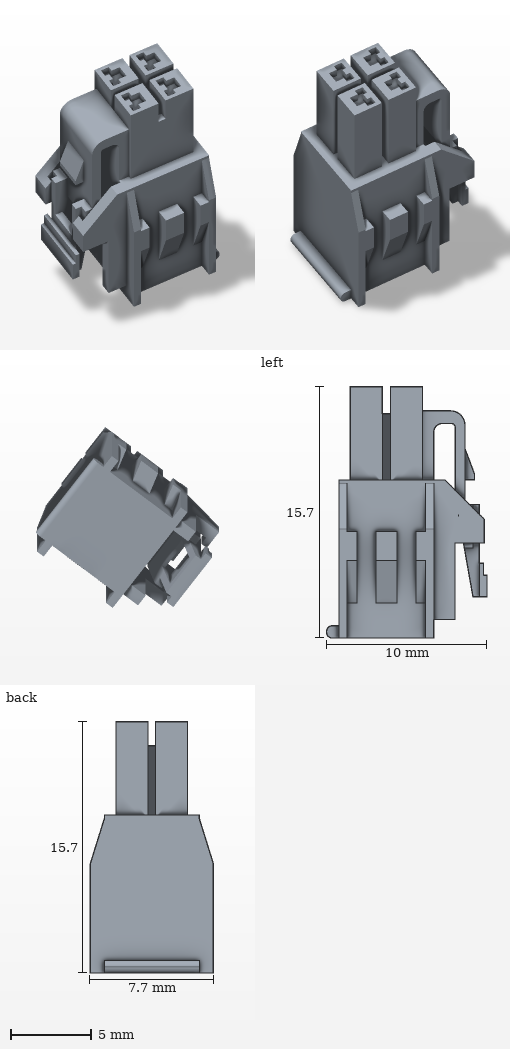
import cadquery as cq

BODY_HALF = 2.97
BODY_TOP = 9.88
SIDE_REACH = 3.85

FLANGE_THICK = 0.52
FLANGE_FULL_TOP = 6.83
FLANGE_TAPER_TOP = 9.65

LUG_TOP = 6.67
LUG_SLOPE_TOP = 4.84
LUG_SLOPE_BOTTOM = 2.2
MIDDLE_LUG_HALF = 0.66
CORNER_LUG_INNER = 1.84

FOOT_REACH = 0.77
FOOT_HEIGHT = 0.78
FOOT_RADIUS = 0.38

HEIGHT = 15.7
TOWER_SIDE = 2.01
TOWER_GAP_X = 0.45
TOWER_GAP_Y = 0.5
TOWER_X = (TOWER_SIDE + TOWER_GAP_X) / 2
TOWER_Y = (TOWER_SIDE + TOWER_GAP_Y) / 2
TOWER_OUTER_X = TOWER_X + TOWER_SIDE / 2
TOWER_OUTER_Y = TOWER_Y + TOWER_SIDE / 2

WEB_THICK = 0.5
WEB_TOP = 14.02

SOCKET_DEPTH = 0.57
STEM_HALF = 0.42
STEM_END = 0.45
CROSS_HALF = 0.77
CROSS_TOP = -0.13
CROSS_BOTTOM = -0.69
KEY_HALF = 0.24
KEY_TOP = -0.41

ARM_INNER = 2.18
ARM_BOTTOM = 1.16
ARM_FRONT = -4.29
HOOK_FRONT = -6.12
HOOK_BACK = -5.7
HOOK_INNER = 1.7
HOOK_BOTTOM = 5.93
ARM_SLOPE_BOTTOM = 7.41
ARM_SLOPE_START = HOOK_FRONT + BODY_TOP - ARM_SLOPE_BOTTOM

LATCH_HALF = 2.01
LATCH_TOP = 14.2
LATCH_BACK = ARM_FRONT
LATCH_FRONT = -4.91
LOOP_OUTER_RADIUS = 0.91
SLOT_TOP = 13.39
SLOT_BACK_RADIUS = 0.53
SLOT_FRONT_RADIUS = 0.22
SHOULDER_TOP = 8.35
SHOULDER_BOTTOM = 5.62
SHOULDER_FRONT = -5.4
STRIP_HALF = 1.5
STRIP_FRONT = -5.81
TAPER_TOP = 8.89
LATCH_BOTTOM = 2.57

WINDOW_HALF = 1.02
WINDOW_BOTTOM = 5.46
RELIEF_TOP = 6.67
SILL_BACK = -5.3

RAMP_HALF = 0.97
RAMP_TOP = 11.82
RAMP_LIP_TOP = 10.24
RAMP_FRONT = -5.51

GRIP_HALF = 1.98
GRIP_TOP = 4.68
GRIP_STEP_TOP = 3.94
GRIP_STEP_FRONT = -6.08
GRIP_FRONT = -6.3


def block(x0, x1, y0, y1, z0, z1):
    """Box between two opposite corners."""
    return cq.Workplane("XY").box(x1 - x0, y1 - y0, z1 - z0, centered=False).translate((x0, y0, z0))


def centered_bar(outline, half_width):
    """(y, z) outline as a bar centred on X = 0."""
    return cq.Workplane("YZ").polyline(outline).close().extrude(half_width, both=True)


def both_sides(solid):
    """The solid together with its mirror image across X = 0."""
    return solid.union(solid.mirror("YZ"))


def side_piece(outline, y0, y1):
    """(x, z) outline running from y0 to y1."""
    return cq.Workplane("XZ", origin=(0, y0, 0)).polyline(outline).close().extrude(y0 - y1)


def housing():
    body = block(-BODY_HALF, BODY_HALF, -BODY_HALF, BODY_HALF, 0, BODY_TOP)
    flange = [(0, 0), (SIDE_REACH, 0), (SIDE_REACH, FLANGE_FULL_TOP),
              (BODY_HALF, FLANGE_TAPER_TOP), (0, FLANGE_TAPER_TOP)]
    lug = [(0, LUG_SLOPE_BOTTOM), (BODY_HALF, LUG_SLOPE_BOTTOM), (SIDE_REACH, LUG_SLOPE_TOP),
           (SIDE_REACH, LUG_TOP), (0, LUG_TOP)]
    flange_inner = BODY_HALF - FLANGE_THICK
    body = body.union(both_sides(side_piece(lug, -MIDDLE_LUG_HALF, MIDDLE_LUG_HALF)))
    for outline, inner, outer in (
        (flange, flange_inner, BODY_HALF),
        (lug, CORNER_LUG_INNER, flange_inner),
    ):
        piece = both_sides(side_piece(outline, inner, outer))
        body = body.union(piece).union(piece.mirror("XZ"))
    foot = block(-BODY_HALF, BODY_HALF, 0, BODY_HALF + FOOT_REACH, 0, FOOT_HEIGHT)
    return body.union(foot.edges(">Y and |X").fillet(FOOT_RADIUS))


def socket():
    """T-shaped contact socket with a key rib in its crossbar."""
    outline = [
        (-STEM_HALF, STEM_END), (STEM_HALF, STEM_END), (STEM_HALF, CROSS_TOP),
        (CROSS_HALF, CROSS_TOP), (CROSS_HALF, CROSS_BOTTOM), (KEY_HALF, CROSS_BOTTOM),
        (KEY_HALF, KEY_TOP), (-KEY_HALF, KEY_TOP), (-KEY_HALF, CROSS_BOTTOM),
        (-CROSS_HALF, CROSS_BOTTOM), (-CROSS_HALF, CROSS_TOP), (-STEM_HALF, CROSS_TOP),
    ]
    return cq.Workplane("XY", origin=(0, 0, HEIGHT)).polyline(outline).close().extrude(-SOCKET_DEPTH)


def towers():
    half = TOWER_SIDE / 2
    tower = block(-half, half, -half, half, 0, HEIGHT).cut(socket())
    group = block(TOWER_OUTER_X - WEB_THICK, TOWER_OUTER_X, -TOWER_GAP_Y / 2, TOWER_GAP_Y / 2, 0, WEB_TOP)
    for x in (-TOWER_X, TOWER_X):
        for y in (-TOWER_Y, TOWER_Y):
            group = group.union(tower.translate((x, y, 0)))
    return group


def guard_arms():
    outline = [
        (0, ARM_BOTTOM), (ARM_FRONT, ARM_BOTTOM), (ARM_FRONT, HOOK_BOTTOM),
        (HOOK_FRONT, HOOK_BOTTOM), (HOOK_FRONT, ARM_SLOPE_BOTTOM),
        (ARM_SLOPE_START, BODY_TOP), (0, BODY_TOP),
    ]
    arm = cq.Workplane("YZ", origin=(HOOK_INNER, 0, 0)).polyline(outline).close()
    arm = arm.extrude(BODY_HALF - HOOK_INNER)
    clearance = block(0, ARM_INNER, HOOK_BACK, -BODY_HALF, 0, HEIGHT)
    return both_sides(arm.cut(clearance))


def latch():
    loop = block(-LATCH_HALF, LATCH_HALF, LATCH_FRONT, -TOWER_OUTER_Y, SHOULDER_BOTTOM, LATCH_TOP)
    loop = loop.edges("<Y and >Z").fillet(LOOP_OUTER_RADIUS)
    slot = block(-LATCH_HALF, LATCH_HALF, LATCH_BACK, -BODY_HALF, 0, SLOT_TOP)
    slot = slot.edges(">Y and >Z").fillet(SLOT_BACK_RADIUS)
    slot = slot.edges("<Y and >Z").fillet(SLOT_FRONT_RADIUS)

    shoulder = block(-LATCH_HALF, LATCH_HALF, SHOULDER_FRONT, LATCH_BACK, SHOULDER_BOTTOM, SHOULDER_TOP)
    strip = block(-STRIP_HALF, STRIP_HALF, STRIP_FRONT, LATCH_BACK, LATCH_BOTTOM, SHOULDER_TOP)

    taper = centered_bar([(LATCH_BACK, TAPER_TOP), (SHOULDER_FRONT, LATCH_BOTTOM),
                          (LATCH_BACK, LATCH_BOTTOM)], LATCH_HALF)

    window = block(-WINDOW_HALF, WINDOW_HALF, STRIP_FRONT, LATCH_FRONT, WINDOW_BOTTOM, SHOULDER_TOP)
    relief = block(-WINDOW_HALF, WINDOW_HALF, SILL_BACK, LATCH_BACK, LATCH_BOTTOM, RELIEF_TOP)

    ramp = centered_bar([(LATCH_BACK, BODY_TOP), (RAMP_FRONT, BODY_TOP), (RAMP_FRONT, RAMP_LIP_TOP),
                         (LATCH_FRONT, RAMP_TOP), (LATCH_BACK, RAMP_TOP)], RAMP_HALF)
    grip = centered_bar([(STRIP_FRONT, LATCH_BOTTOM), (GRIP_FRONT, LATCH_BOTTOM),
                         (GRIP_FRONT, GRIP_STEP_TOP), (GRIP_STEP_FRONT, GRIP_STEP_TOP),
                         (GRIP_STEP_FRONT, GRIP_TOP), (STRIP_FRONT, GRIP_TOP)], GRIP_HALF)

    hanging = loop.cut(slot).union(shoulder).union(strip)
    hanging = hanging.cut(taper).cut(window).cut(relief)
    return hanging.union(ramp).union(grip)


result = housing().union(towers()).union(latch()).union(guard_arms())